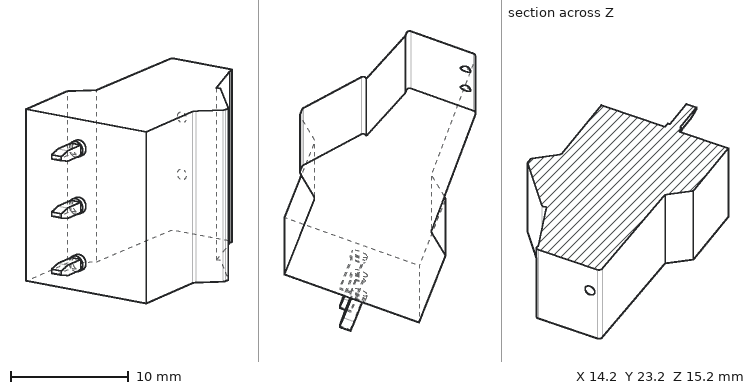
import cadquery as cq
import math


pole_count = 3
pole_pitch = 5.08
block_height = pole_count * pole_pitch

base_width = 12.23
base_left_depth = 6.4
shoulder_x = 1.9
shoulder_y = 7.98
top_left_x = 2.09
top_right_x = 8.35
top_y = 19.42
top_right_flat_y = 18.85
edge_radius = 0.3

nose_angle = math.radians(50)
nose_tip_x = 14.25
nose_tip_upper_y = 9.67
nose_tip_lower_y = 9.02
nose_root_x = 10.1
nose_root_y = 14.1
nose_base_radius = 0.4

pin_x = 5.4
pin_width = 1.0
pin_thickness = 0.93
pin_tip_thickness = 0.37
pin_length = 3.5
pin_taper_length = 1.0
collar_diameter = 1.4
collar_length = 0.5

dome_x = 3.09
dome_base_radius = 0.46
dome_height = 0.28


def pole_z(index):
    """Height of a pole's centre plane, counted from the bottom."""
    return (index + 0.5) * pole_pitch


def make_housing():
    nose_slope = math.tan(nose_angle)

    drop_to_tip = nose_root_y - nose_tip_upper_y
    run_to_tip = nose_tip_x - nose_root_x
    shoulder_run = (nose_slope * run_to_tip - drop_to_tip) / (nose_slope + 1 / nose_slope)
    nose_shoulder = (nose_root_x + shoulder_run, nose_root_y + shoulder_run / nose_slope)

    nose_base_y = nose_tip_lower_y - (nose_tip_x - base_width) / nose_slope

    nose_base = (base_width, nose_base_y)
    tip_lower = (nose_tip_x, nose_tip_lower_y)
    tip_upper = (nose_tip_x, nose_tip_upper_y)
    top_right = (top_right_x, top_y)
    top_left = (top_left_x, top_y)

    outline = [
        (0, 0),
        (base_width, 0),
        nose_base,
        tip_lower,
        tip_upper,
        nose_shoulder,
        (nose_root_x, nose_root_y),
        (top_right_x, top_right_flat_y),
        top_right,
        top_left,
        (shoulder_x, shoulder_y),
        (0, base_left_depth),
    ]
    housing = cq.Workplane("XY").polyline(outline).close().extrude(block_height)

    corner_radii = [
        (nose_base, nose_base_radius),
        (tip_lower, edge_radius),
        (tip_upper, edge_radius),
        (nose_shoulder, edge_radius),
        (top_right, edge_radius),
        (top_left, edge_radius),
    ]
    for (x, y), radius in corner_radii:
        corner_edge = cq.selectors.NearestToPointSelector((x, y, block_height / 2))
        housing = housing.edges("|Z").edges(corner_edge).fillet(radius)
    return housing


def make_pin(z):
    collar = (
        cq.Workplane("XZ", origin=(pin_x, 0, z))
        .circle(collar_diameter / 2)
        .extrude(collar_length)
    )
    half_thickness = pin_thickness / 2
    half_tip = pin_tip_thickness / 2
    taper_y = pin_taper_length - pin_length
    blade = (
        cq.Workplane("YZ", origin=(pin_x, 0, z))
        .polyline([
            (0, -half_thickness),
            (taper_y, -half_thickness),
            (-pin_length, -half_tip),
            (-pin_length, half_tip),
            (taper_y, half_thickness),
            (0, half_thickness),
        ])
        .close()
        .extrude(pin_width / 2, both=True)
    )
    return collar.union(blade)


def make_dome(z):
    sphere_radius = (dome_base_radius**2 + dome_height**2) / (2 * dome_height)
    half_angle = math.asin(dome_base_radius / sphere_radius) / 2
    arc_middle = (
        sphere_radius * math.sin(half_angle),
        dome_height - sphere_radius * (1 - math.cos(half_angle)),
    )
    return (
        cq.Workplane("XY", origin=(dome_x, top_y, z))
        .lineTo(dome_base_radius, 0)
        .threePointArc(arc_middle, (0, dome_height))
        .close()
        .revolve(360, (0, 0), (0, 1))
    )


result = make_housing()

for pole in range(pole_count):
    result = result.union(make_pin(pole_z(pole)))

for gap in range(pole_count - 1):
    result = result.union(make_dome(pole_z(gap + 0.5)))